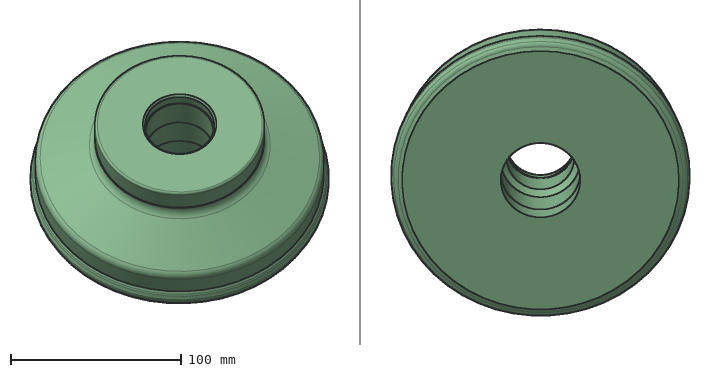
import cadquery as cq
import math

height = 63.0
rim_radius = 87.8

mouth_radius = 20.4
mouth_bottom_z = 55.7
bore_radius = 19.8
bore_bottom_z = 36.7
relief_radius = 23.4
mouth_chamfer = 1.2

collar_radius = 49.9
collar_bottom_z = 48.3
collar_top_fillet = 1.4
neck_radius = 49.5
neck_fillet = 6.0
cone_angle = 23.4
body_radius = 84.8
shoulder_corner_z = 28.5
shoulder_fillet = 4.5

ring_top_z = 12.8
ledge_radius = 85.9
ledge_z = 11.6
lip_radius = 86.6
lip_z = 10.5
bulge_edge_radius = 87.6
bulge_top_z = 8.5
bulge_bottom_z = 6.0
heel_top_radius = 86.5
heel_top_z = 2.8
heel_bottom_radius = 83.8
heel_bottom_z = 1.0
heel_mid_radius = 85.5
heel_mid_z = 1.8
foot_radius = 81.3


def make_housing():
    """Turned housing: collar, cone and body wall around a stepped bore."""
    neck_corner_z = shoulder_corner_z + (body_radius - neck_radius) * math.tan(math.radians(cone_angle))
    tangent_length = math.tan(math.radians(90 - cone_angle) / 2)
    along_cone = math.cos(math.radians(cone_angle))
    down_cone = math.sin(math.radians(cone_angle))
    neck_reach = neck_fillet * tangent_length
    shoulder_reach = shoulder_fillet * tangent_length
    neck_start = (neck_radius, neck_corner_z + neck_reach)
    neck_end = (neck_radius + neck_reach * along_cone, neck_corner_z - neck_reach * down_cone)
    shoulder_start = (
        body_radius - shoulder_reach * along_cone,
        shoulder_corner_z + shoulder_reach * down_cone,
    )
    shoulder_end = (body_radius, shoulder_corner_z - shoulder_reach)
    relief_step = relief_radius - bore_radius

    return (
        cq.Workplane("XZ")
        .moveTo(relief_radius, ring_top_z)
        .lineTo(relief_radius, bore_bottom_z - relief_step)
        .lineTo(bore_radius, bore_bottom_z)
        .lineTo(bore_radius, mouth_bottom_z)
        .lineTo(mouth_radius, mouth_bottom_z)
        .lineTo(mouth_radius, height - mouth_chamfer)
        .lineTo(mouth_radius + mouth_chamfer, height)
        .lineTo(collar_radius - collar_top_fillet, height)
        .tangentArcPoint((collar_radius, height - collar_top_fillet), relative=False)
        .lineTo(collar_radius, collar_bottom_z)
        .lineTo(neck_radius, collar_bottom_z)
        .lineTo(*neck_start)
        .tangentArcPoint(neck_end, relative=False)
        .lineTo(*shoulder_start)
        .tangentArcPoint(shoulder_end, relative=False)
        .lineTo(body_radius, ring_top_z)
        .close()
        .revolve(360, (0, 0, 0), (0, 1, 0))
    )


def make_rim_ring():
    """Turned base ring with a bulging rim and a rounded heel."""
    bulge_mid_z = (bulge_top_z + bulge_bottom_z) / 2
    return (
        cq.Workplane("XZ")
        .moveTo(relief_radius, 0)
        .lineTo(foot_radius, 0)
        .lineTo(heel_bottom_radius, heel_bottom_z)
        .threePointArc((heel_mid_radius, heel_mid_z), (heel_top_radius, heel_top_z))
        .lineTo(bulge_edge_radius, bulge_bottom_z)
        .threePointArc((rim_radius, bulge_mid_z), (bulge_edge_radius, bulge_top_z))
        .lineTo(lip_radius, lip_z)
        .lineTo(ledge_radius, ledge_z)
        .lineTo(body_radius, ring_top_z)
        .lineTo(relief_radius, ring_top_z)
        .close()
        .revolve(360, (0, 0, 0), (0, 1, 0))
    )


housing = make_housing()
rim_ring = make_rim_ring()

result = cq.Compound.makeCompound([housing.val(), rim_ring.val()])